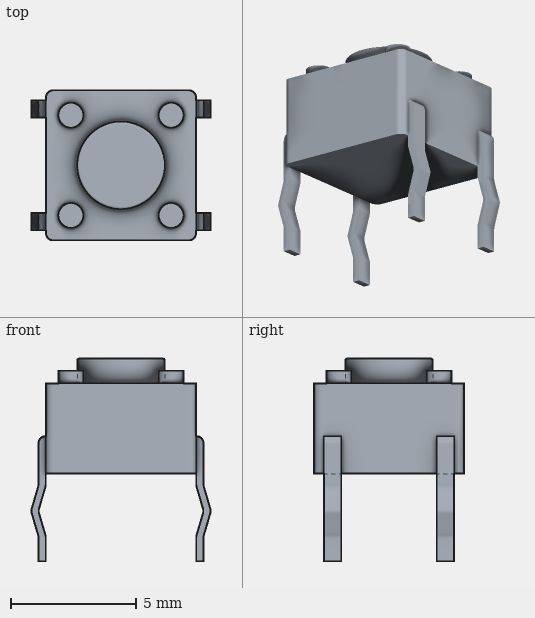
import cadquery as cq
import math


body_side = 6.0
body_height = 3.605
body_corner_radius = 0.3
half_side = body_side / 2

button_diameter = 3.5
button_edge_radius = 0.1
post_diameter = 1.0
post_height = 0.5
post_spacing = 4.0

overall_width = 7.17
overall_height = 8.1
leg_thickness = 0.3
leg_width = 0.7
leg_spacing = 4.5
leg_bend_pitch = 1.005
leg_bend_radius = 0.3
leg_overlap = 1.5

body_bottom = 3.5
body_top = body_bottom + body_height
leg_top = body_bottom + leg_overlap
button_height = overall_height - body_top

kink_reach = (overall_width - body_side) / 2 - leg_thickness
bend_angle = math.atan(kink_reach / leg_bend_pitch)
crest_loss = leg_bend_radius * (1 / math.cos(bend_angle) - 1)
kink_offset = kink_reach + crest_loss


def make_body():
    return (
        cq.Workplane("XY", origin=(0, 0, body_bottom))
        .rect(body_side, body_side)
        .extrude(body_height)
        .edges("|Z")
        .fillet(body_corner_radius)
    )


def make_button():
    return (
        cq.Workplane("XY", origin=(0, 0, body_top))
        .circle(button_diameter / 2)
        .extrude(button_height)
        .faces(">Z")
        .edges()
        .fillet(button_edge_radius)
    )


def make_posts():
    return (
        cq.Workplane("XY", origin=(0, 0, body_top))
        .rect(post_spacing, post_spacing, forConstruction=True)
        .vertices()
        .circle(post_diameter / 2)
        .extrude(post_height)
    )


def make_leg(y_centre):
    """Leg on the +X side: a strip against the housing with a rounded outward kink."""
    inner = half_side
    outer = half_side + leg_thickness
    lower_bend, crest, upper_bend = [leg_bend_pitch * step for step in (1, 2, 3)]
    strip = (
        cq.Workplane("XZ", origin=(0, y_centre + leg_width / 2, 0))
        .moveTo(inner, 0)
        .lineTo(outer, 0)
        .lineTo(outer, lower_bend)
        .lineTo(outer + kink_offset, crest)
        .lineTo(outer, upper_bend)
        .lineTo(outer, leg_top - leg_thickness)
        .radiusArc((inner, leg_top), -leg_thickness)
        .lineTo(inner, upper_bend)
        .lineTo(inner + kink_offset, crest)
        .lineTo(inner, lower_bend)
        .close()
        .extrude(leg_width)
    )
    half_pitch = leg_bend_pitch / 2
    bend_zone = cq.selectors.BoxSelector(
        (0, -body_side, lower_bend - half_pitch),
        (overall_width, body_side, upper_bend + half_pitch),
    )
    return strip.edges("|Y").edges(bend_zone).fillet(leg_bend_radius)


result = make_body().union(make_button()).union(make_posts())
for y_side in (-1, 1):
    leg = make_leg(y_side * leg_spacing / 2)
    result = result.union(leg).union(leg.mirror("YZ"))